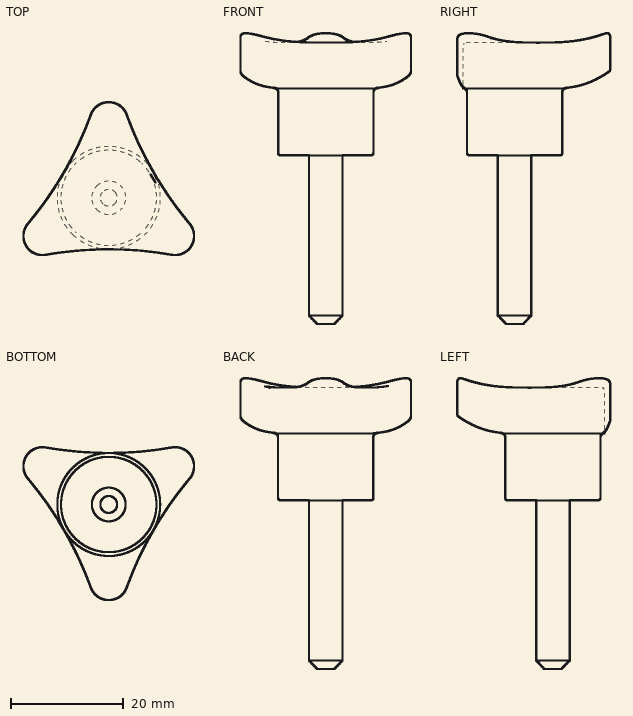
import cadquery as cq
import math

stud_diameter = 6.0
stud_tip_diameter = 3.0
stud_tip_height = 1.55

hub_diameter = 17.0
hub_bottom = 30.05
hub_edge_fillet = 0.4
neck_fillet = 0.65

lobe_count = 3
head_width = 30.4
head_length = 27.25
waist_radius = 9.15
head_edge_fillet = 0.6
lower_edge_fillet = 0.3

dish_floor_diameter = 15.1
dish_floor = 50.05
dish_rise = 2.0
underside_height = 41.95
underside_flat_radius = 7.75
underside_rise = 3.15

lobe_center_radius = (head_width - head_length) / (math.sqrt(3) - 1.5)
lobe_radius = (head_width - math.sqrt(3) * lobe_center_radius) / 2
head_radius = lobe_center_radius + lobe_radius
blank_radius = head_radius + 0.5
middle_height = (dish_floor + underside_height) / 2


def polar(radius, degrees):
    angle = math.radians(degrees)
    return (radius * math.cos(angle), radius * math.sin(angle))


def toward(start, end, distance):
    length = math.dist(start, end)
    return tuple(a + (b - a) * distance / length for a, b in zip(start, end))


def tangent_rise_radius(run, rise):
    """Radius of an arc that starts horizontal and climbs by rise over run."""
    return (run**2 + rise**2) / (2 * rise)


def arc_height(radius, flat_radius, bend):
    """Height of the arc above its flat at the given distance from the axis."""
    return bend - math.sqrt(bend**2 - (radius - flat_radius) ** 2)


def lobed_prism():
    half_step = 180 / lobe_count
    lobe_along = lobe_center_radius * math.cos(math.radians(half_step))
    lobe_across = lobe_center_radius * math.sin(math.radians(half_step))
    offset = waist_radius - lobe_along
    side_radius = (lobe_across**2 + offset**2 - lobe_radius**2) / (2 * (lobe_radius - offset))
    side_center_radius = waist_radius + side_radius

    def tangent_point(lobe_angle, side_angle):
        lobe_center = polar(lobe_center_radius, lobe_angle)
        return toward(lobe_center, polar(side_center_radius, side_angle), lobe_radius)

    prism_height = dish_floor + 2 * dish_rise - hub_bottom
    outline = cq.Workplane("XY").workplane(offset=hub_bottom)
    outline = outline.moveTo(*tangent_point(90, 90 - half_step))
    for index in range(lobe_count):
        lobe_angle = 90 + 2 * half_step * index
        side_angle = lobe_angle + half_step
        outline = outline.threePointArc(polar(head_radius, lobe_angle), tangent_point(lobe_angle, side_angle))
        next_lobe = tangent_point(lobe_angle + 2 * half_step, side_angle)
        outline = outline.threePointArc(polar(waist_radius, side_angle), next_lobe)
    return outline.close().extrude(prism_height)


def dished_blank():
    floor_radius = dish_floor_diameter / 2
    dish_bend = tangent_rise_radius(head_radius - floor_radius, dish_rise)
    under_bend = tangent_rise_radius(head_radius - underside_flat_radius, underside_rise)

    def top_point(radius):
        return (radius, dish_floor + arc_height(radius, floor_radius, dish_bend))

    def under_point(radius):
        return (radius, underside_height + arc_height(radius, underside_flat_radius, under_bend))

    return (
        cq.Workplane("XZ")
        .moveTo(0, underside_height)
        .lineTo(underside_flat_radius, underside_height)
        .threePointArc(under_point((underside_flat_radius + blank_radius) / 2), under_point(blank_radius))
        .lineTo(*top_point(blank_radius))
        .threePointArc(top_point((floor_radius + blank_radius) / 2), (floor_radius, dish_floor))
        .lineTo(0, dish_floor)
        .close()
        .revolve(360, (0, 0, 0), (0, 1, 0))
    )


def rim_edges(solid, upper):
    """Edges around the lobed outline at the top or at the underside."""
    edges = []
    for edge in solid.edges("not(|Z)").vals():
        middle = edge.positionAt(0.5)
        is_outer = math.hypot(middle.x, middle.y) > hub_diameter / 2
        if is_outer and (middle.z > middle_height) == upper:
            edges.append(edge)
    return edges


def make_head():
    head = lobed_prism().intersect(dished_blank())
    head = head.newObject(rim_edges(head, upper=True)).fillet(head_edge_fillet)
    return head.newObject(rim_edges(head, upper=False)).fillet(lower_edge_fillet)


def make_hub():
    hub = cq.Workplane("XY").workplane(offset=hub_bottom).circle(hub_diameter / 2)
    return hub.extrude(middle_height - hub_bottom).faces("<Z").edges().fillet(hub_edge_fillet)


def make_neck():
    """Concave ring that blends the hub into the underside of the head."""
    hub_radius = hub_diameter / 2
    neck_bottom = underside_height - neck_fillet
    return (
        cq.Workplane("XZ")
        .moveTo(0, neck_bottom)
        .lineTo(hub_radius, neck_bottom)
        .radiusArc((hub_radius + neck_fillet, underside_height), neck_fillet)
        .lineTo(0, underside_height)
        .close()
        .revolve(360, (0, 0, 0), (0, 1, 0))
    )


def make_stud():
    stud = cq.Workplane("XY").circle(stud_diameter / 2).extrude(middle_height)
    tip_inset = (stud_diameter - stud_tip_diameter) / 2
    return stud.faces("<Z").edges().chamfer(stud_tip_height, tip_inset)


result = make_head().union(make_hub()).union(make_neck()).union(make_stud())